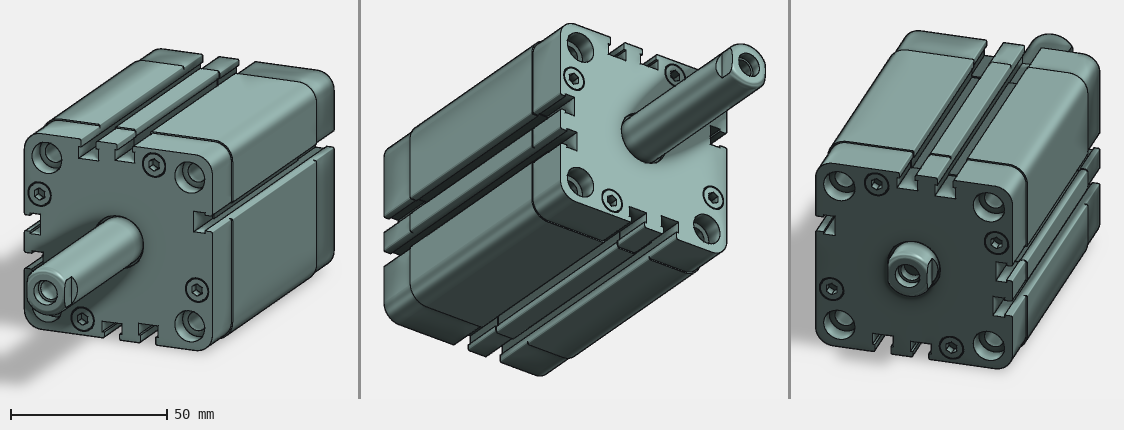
import cadquery as cq
import math


total_length = 160.5
tube_side = 67.0
cap_side = 66.0
cap_length = 15.0
tube_length = 66.1
body_length = tube_length + 2 * cap_length
corner_centre = 27.0

slot_opening = 5.3
slot_cavity = 6.9
slot_depth = 6.6
lip_radius = 0.6
deep_slot_centre = -10.5
deep_slot_lip = 30.3
shallow_slot_centre = 2.0
shallow_slot_lip = 31.0
shallow_cap_slot_depth = 5.6
shallow_cap_slot_shift = 0.3
deep_slot_turns = (0, 1, 2, 3)
shallow_slot_turns = (0, 1, 2)

mount_offset = 25.0
mount_hole_diameter = 6.6
mount_bore_diameter = 10.5
mount_bore_depth = 6.1

screw_short_offset = 12.5
screw_long_offset = 27.6
screw_head_diameter = 7.5
screw_bore_diameter = 8.2
screw_gap_depth = 1.6
socket_flats = 3.5
socket_depth = 3.2

rod_diameter = 16.0
rod_rear_length = 7.2
rod_front_length = total_length - body_length - rod_rear_length
rod_end_radius = 2.0
flat_width = 13.2
flat_length = 5.6
seal_diameter = 17.7
seal_gap_depth = 1.6

thread_diameter = 6.6
thread_depth = 19.3
thread_relief_diameter = 8.2
thread_relief_depth = 3.5
drill_point_angle = 118.0


def plane_at(y):
    """XZ sketch plane at the given Y; extruding goes towards -Y."""
    return cq.Workplane("XZ", origin=(0, y, 0))


def t_slot(centre, depth, lip, surface, y_back, length):
    """Cutter for a T-slot in the top face, with rounded lips."""
    floor = surface - depth
    half_opening = slot_opening / 2
    half_cavity = slot_cavity / 2
    mouth = half_opening + lip_radius
    arc_rise = lip_radius * math.sqrt(0.5)
    arc_side = mouth - arc_rise
    arc_height = surface - lip_radius + arc_rise
    return (
        plane_at(y_back)
        .moveTo(centre - half_cavity, floor)
        .lineTo(centre - half_cavity, lip)
        .lineTo(centre - half_opening, lip)
        .lineTo(centre - half_opening, surface - lip_radius)
        .threePointArc((centre - arc_side, arc_height), (centre - mouth, surface))
        .lineTo(centre + mouth, surface)
        .threePointArc((centre + arc_side, arc_height), (centre + half_opening, surface - lip_radius))
        .lineTo(centre + half_opening, lip)
        .lineTo(centre + half_cavity, lip)
        .lineTo(centre + half_cavity, floor)
        .close()
        .extrude(length)
    )


def quarter_turn(shape, turns):
    """Turn a shape about Y, carrying the top face to -X, -Z and +X in order."""
    return shape.rotate((0, 0, 0), (0, 1, 0), -90 * turns)


def body_section(side, y_back, length, shallow_centre, shallow_depth):
    """Rounded square length of the body with its T-slots."""
    surface = side / 2
    section = plane_at(y_back).rect(side, side).extrude(length)
    section = section.edges("|Y").fillet(surface - corner_centre)
    deep = t_slot(deep_slot_centre, slot_depth, deep_slot_lip, surface, y_back, length)
    shallow = t_slot(shallow_centre, shallow_depth, shallow_slot_lip, surface, y_back, length)
    for turns in deep_slot_turns:
        section = section.cut(quarter_turn(deep, turns))
    for turns in shallow_slot_turns:
        section = section.cut(quarter_turn(shallow, turns))
    return section


def build_body():
    cap_slot = (shallow_slot_centre + shallow_cap_slot_shift, shallow_cap_slot_depth)
    tube_slot = (shallow_slot_centre, slot_depth)
    front_cap = body_section(cap_side, cap_length, cap_length, *cap_slot)
    tube = body_section(tube_side, cap_length + tube_length, tube_length, *tube_slot)
    rear_cap = body_section(cap_side, body_length, cap_length, *cap_slot)
    return front_cap.union(tube).union(rear_cap)


def mirrored_to_rear(shape):
    """Copy of a front cap feature for the rear cap."""
    return shape.mirror("XZ", (0, body_length / 2, 0))


def mounting_holes():
    """Through holes in the four corners, counterbored at both ends."""
    corners = plane_at(body_length).rect(2 * mount_offset, 2 * mount_offset, forConstruction=True)
    holes = corners.vertices().circle(mount_hole_diameter / 2).extrude(body_length)
    bores = (
        plane_at(mount_bore_depth)
        .rect(2 * mount_offset, 2 * mount_offset, forConstruction=True)
        .vertices()
        .circle(mount_bore_diameter / 2)
        .extrude(mount_bore_depth)
    )
    return holes.union(bores).union(mirrored_to_rear(bores))


def screw_recesses():
    """Ring gap around each front screw head, and its hexagon socket with a corner towards +Z."""
    centres = (
        (screw_short_offset, screw_long_offset),
        (-screw_long_offset, screw_short_offset),
        (-screw_short_offset, -screw_long_offset),
        (screw_long_offset, -screw_short_offset),
    )
    gaps = (
        plane_at(screw_gap_depth)
        .pushPoints(centres)
        .circle(screw_bore_diameter / 2)
        .circle(screw_head_diameter / 2)
        .extrude(screw_gap_depth)
    )
    socket_corners = socket_flats / math.cos(math.radians(30))
    hexagon = cq.Sketch().regularPolygon(socket_corners / 2, 6)
    sockets = plane_at(socket_depth).pushPoints(centres).placeSketch(hexagon).extrude(socket_depth)
    return gaps.union(sockets)


def seal_gap():
    """Ring gap between the rod and the front cap."""
    return (
        plane_at(seal_gap_depth)
        .circle(seal_diameter / 2)
        .circle(rod_diameter / 2)
        .extrude(seal_gap_depth)
    )


def flat_cutter(tip, inward):
    """Two wrench flats at a rod tip that run out at 45 degrees; inward is the Y direction."""
    half_flat = flat_width / 2
    rod_radius = rod_diameter / 2
    run_out = rod_radius - half_flat
    flat_end = tip + inward * flat_length
    flat = (
        cq.Workplane("XY", origin=(0, 0, -rod_radius))
        .moveTo(half_flat, tip)
        .lineTo(half_flat, flat_end)
        .lineTo(rod_radius, flat_end + inward * run_out)
        .lineTo(rod_radius, tip)
        .close()
        .extrude(rod_diameter)
    )
    return flat.union(flat.mirror("YZ"))


def threaded_hole(tip, inward):
    """Blind tapped hole with a wider relief at the mouth and a drill point."""
    hole_radius = thread_diameter / 2
    relief_radius = thread_relief_diameter / 2
    point_length = hole_radius / math.tan(math.radians(drill_point_angle / 2))
    return (
        cq.Workplane("XY")
        .moveTo(0, tip)
        .lineTo(relief_radius, tip)
        .lineTo(relief_radius, tip + inward * thread_relief_depth)
        .lineTo(hole_radius, tip + inward * thread_relief_depth)
        .lineTo(hole_radius, tip + inward * thread_depth)
        .lineTo(0, tip + inward * (thread_depth + point_length))
        .close()
        .revolve(360, (0, 0, 0), (0, 1, 0))
    )


def build_rod():
    front_tip = -rod_front_length
    rear_tip = body_length + rod_rear_length
    rod = plane_at(rear_tip).circle(rod_diameter / 2).extrude(total_length)
    rod = rod.edges("%CIRCLE").fillet(rod_end_radius)
    for tip, inward in ((front_tip, 1), (rear_tip, -1)):
        rod = rod.cut(flat_cutter(tip, inward)).cut(threaded_hole(tip, inward))
    return rod


front_details = screw_recesses().union(seal_gap())
body = build_body().cut(mounting_holes())
body = body.cut(front_details).cut(mirrored_to_rear(front_details))
result = body.union(build_rod())